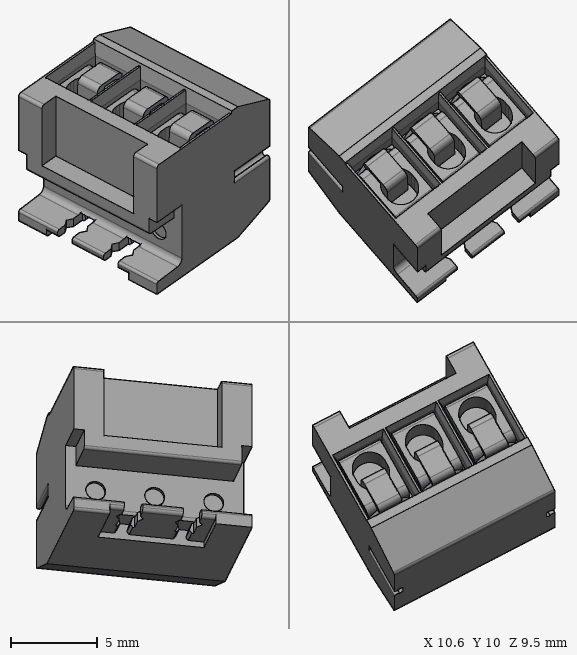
import cadquery as cq


WIDTH = 10.56
DEPTH = 10.0
HEIGHT = 9.5
PITCH = 3.5
POLE_CENTRES = [-PITCH, 0, PITCH]
SHOULDER_Y = 7.17
BACK_CORNER_DROP = 1.07
RIDGE_FOOT_Y = 6.59
DECK_Z = 9.32
BACK_RADIUS = 0.21
FRONT_TOP_RADIUS = 0.21

CHANNEL_BACK_Y = 2.21
LIP_ROOT_Z = 3.98
LIP_FRONT_Z = 4.04
LIP_RADIUS = 0.17
LIP_END_WIDTH = 0.61
LIP_END_Z = 5.22
TONGUE_ROOT_Z = 0.97
TONGUE_FRONT_Z = 0.87
TONGUE_RADIUS = 0.16
CHANNEL_RADIUS = 0.4

RELIEF_X = (-3.15, 3.13)
RELIEF_Z = 0.36
RELIEF_DEPTH = 3.17
RELIEF_RADIUS = 0.22
FOOT_RADIUS = 0.17
SLOT_CENTRES = [-PITCH / 2, PITCH / 2]
SLOT_HALF_WIDTH = 0.55
SLOT_TOP_Z = 1.0
SLOT_MOUTH_DEPTH = 2.21
NOTCH_DEPTH = 0.23
NOTCH_FRONT_Y = 0.65
NOTCH_MIDDLE_Y = 1.03
NOTCH_BACK_Y = 1.38
NECK_HALF_WIDTH = 0.31
NECK_Z = 0.53
NECK_END_HALF_WIDTH = 0.44

LABEL_WIDTH = 7.0
LABEL_BOTTOM_Z = 4.98
LABEL_DEPTH = 1.24
PIN_HOLE_RADIUS = 0.58
PIN_HOLE_Z = 2.49
PIN_HOLE_DEPTH = 0.2

GROOVE_FRONT_Y = 6.89
GROOVE_MIDDLE_Z = 4.58
GROOVE_HALF_HEIGHT = 0.46
GROOVE_NECK_HALF_HEIGHT = 0.33
GROOVE_NECK_X = 0.17
GROOVE_DEPTH = 0.57
GROOVE_CORNER_RADIUS = 0.21

WELL_PITCH = 3.46
WELL_CENTRES = [-WELL_PITCH, 0, WELL_PITCH]
WELL_WIDTH = 3.34
WELL_Y = (2.2, RIDGE_FOOT_Y)
WELL_INSET = 0.18
WELL_TAPER_Z = 8.55
WELL_FLOOR_Z = 7.39
RIDGE_FRONT_Y = RIDGE_FOOT_Y + WELL_INSET * (HEIGHT - DECK_Z) / (DECK_Z - WELL_TAPER_Z)

CLAMP_WIDTH = 2.75
CLAMP_Y = (2.38, 6.01)
CLAMP_TOP_Z = 8.37
CLAMP_FRONT_RADIUS = 0.18
CLAMP_BACK_RADIUS = 0.5
ENTRY_RADIUS = 1.01
ENTRY_Y = (3.7, 3.98)
ENTRY_DEPTH = 2.11
STRAP_WIDTH = 1.49
STRAP_FRONT_Y = 4.04
STRAP_FOOT_Y = 3.98
STRAP_BACK_Y = 6.24
STRAP_TOP_Z = 8.66
STRAP_FRONT_RADIUS = 0.4
STRAP_BACK_RADIUS = 0.35
ARCH_WIDTH = 2.6
ARCH_TOP_Z = 8.13
PIN_HEAD_RADIUS = 0.45
PIN_HEAD_Z = 7.5


def box(x, y, z):
    """Box spanning the given (low, high) ranges."""
    return (
        cq.Workplane("XY")
        .box(x[1] - x[0], y[1] - y[0], z[1] - z[0], centered=False)
        .translate((x[0], y[0], z[0]))
    )


def extrude_across(outline, width):
    """Extrude a closed (Y, Z) outline along X, centred on X = 0."""
    return cq.Workplane("YZ").polyline(outline).close().extrude(width / 2, both=True)


def round_edges(solid, y, z, radius):
    """Fillet the edges along X that lie at the given Y and Z."""
    reach = 0.005
    corner = cq.selectors.BoxSelector(
        (-WIDTH, y - reach, z - reach), (WIDTH, y + reach, z + reach)
    )
    return solid.edges("|X").edges(corner).fillet(radius)


def housing():
    low_back_z = BACK_CORNER_DROP
    high_back_z = HEIGHT - BACK_CORNER_DROP
    body = extrude_across(
        [
            (0, 0),
            (SHOULDER_Y, 0),
            (DEPTH, low_back_z),
            (DEPTH, high_back_z),
            (SHOULDER_Y, HEIGHT),
            (RIDGE_FRONT_Y, HEIGHT),
            (RIDGE_FOOT_Y, DECK_Z),
            (0, DECK_Z),
            (0, LIP_FRONT_Z),
            (CHANNEL_BACK_Y, LIP_ROOT_Z),
            (CHANNEL_BACK_Y, TONGUE_ROOT_Z),
            (0, TONGUE_FRONT_Z),
        ],
        WIDTH,
    )
    body = round_edges(body, DEPTH, low_back_z, BACK_RADIUS)
    body = round_edges(body, DEPTH, high_back_z, BACK_RADIUS)
    body = round_edges(body, 0, DECK_Z, FRONT_TOP_RADIUS)
    body = round_edges(body, 0, LIP_FRONT_Z, LIP_RADIUS)
    body = round_edges(body, CHANNEL_BACK_Y, TONGUE_ROOT_Z, CHANNEL_RADIUS)
    return round_edges(body, 0, TONGUE_FRONT_Z, TONGUE_RADIUS)


def lip_end_notches():
    edge = WIDTH / 2
    channel_middle_z = (TONGUE_ROOT_Z + LIP_ROOT_Z) / 2
    notch = box((edge - LIP_END_WIDTH, edge), (0, CHANNEL_BACK_Y), (channel_middle_z, LIP_END_Z))
    return notch.union(notch.mirror("YZ"))


def label_recess():
    return box((-LABEL_WIDTH / 2, LABEL_WIDTH / 2), (0, LABEL_DEPTH), (LABEL_BOTTOM_Z, HEIGHT))


def pin_holes():
    return (
        cq.Workplane("XZ", origin=(0, CHANNEL_BACK_Y, PIN_HOLE_Z))
        .pushPoints([(x, 0) for x in POLE_CENTRES])
        .circle(PIN_HOLE_RADIUS)
        .extrude(-PIN_HOLE_DEPTH)
    )


def cut_relief(body):
    """Hollow the underside between the two feet and round its front edges."""
    body = body.cut(box(RELIEF_X, (0, RELIEF_DEPTH), (0, RELIEF_Z)))
    body = round_edges(body, 0, RELIEF_Z, RELIEF_RADIUS)
    left_foot_edge = cq.selectors.BoxSelector(
        (-WIDTH, -FOOT_RADIUS, -FOOT_RADIUS), (RELIEF_X[0], FOOT_RADIUS, FOOT_RADIUS)
    )
    return body.edges("|X").edges(left_foot_edge).fillet(FOOT_RADIUS)


def tongue_slot(centre_x):
    """Notched slot through the tongue, ending in a waisted tunnel under the housing."""
    half = SLOT_HALF_WIDTH
    right_side = [
        (half, 0),
        (half, NOTCH_FRONT_Y),
        (half + NOTCH_DEPTH, NOTCH_MIDDLE_Y),
        (half, NOTCH_BACK_Y),
        (half, SLOT_MOUTH_DEPTH),
    ]
    left_side = [(-x, y) for x, y in reversed(right_side)]
    mouth = cq.Workplane("XY").polyline(right_side + left_side).close().extrude(SLOT_TOP_Z)
    tunnel = (
        cq.Workplane("XZ")
        .moveTo(-NECK_END_HALF_WIDTH, SLOT_TOP_Z)
        .lineTo(NECK_END_HALF_WIDTH, SLOT_TOP_Z)
        .lineTo(NECK_HALF_WIDTH, NECK_Z)
        .lineTo(NECK_END_HALF_WIDTH, RELIEF_Z)
        .lineTo(-NECK_END_HALF_WIDTH, RELIEF_Z)
        .lineTo(-NECK_HALF_WIDTH, NECK_Z)
        .close()
        .extrude(-RELIEF_DEPTH)
    )
    return mouth.union(tunnel).translate((centre_x, 0, 0))


def side_grooves():
    """Undercut grooves with rounded lips, open at the back of both sides."""
    mouth = GROOVE_HALF_HEIGHT
    neck = GROOVE_NECK_HALF_HEIGHT
    lip_end_x = 2 * GROOVE_NECK_X
    groove = (
        cq.Workplane("XZ", origin=(-WIDTH / 2, GROOVE_FRONT_Y, GROOVE_MIDDLE_Z))
        .moveTo(0, -mouth)
        .threePointArc((GROOVE_NECK_X, -neck), (lip_end_x, -mouth))
        .lineTo(GROOVE_DEPTH, -mouth)
        .lineTo(GROOVE_DEPTH, mouth)
        .lineTo(lip_end_x, mouth)
        .threePointArc((GROOVE_NECK_X, neck), (0, mouth))
        .close()
        .extrude(GROOVE_FRONT_Y - DEPTH)
    )
    groove = groove.faces(">X").edges("|Y").fillet(GROOVE_CORNER_RADIUS)
    return groove.union(groove.mirror("YZ"))


def well(centre_x):
    """Pocket with a tapered mouth and straight lower walls."""
    length = WELL_Y[1] - WELL_Y[0]
    middle_y = (WELL_Y[0] + WELL_Y[1]) / 2
    inner_width = WELL_WIDTH - 2 * WELL_INSET
    inner_length = length - 2 * WELL_INSET
    mouth = (
        cq.Workplane("XY", origin=(centre_x, middle_y, WELL_TAPER_Z))
        .rect(inner_width, inner_length)
        .workplane(offset=DECK_Z - WELL_TAPER_Z)
        .rect(WELL_WIDTH, length)
        .loft()
    )
    shaft = (
        cq.Workplane("XY", origin=(centre_x, middle_y, WELL_FLOOR_Z))
        .rect(inner_width, inner_length)
        .extrude(WELL_TAPER_Z - WELL_FLOOR_Z)
    )
    return mouth.union(shaft)


def clamp_block():
    half = CLAMP_WIDTH / 2
    block = box((-half, half), CLAMP_Y, (WELL_FLOOR_Z, CLAMP_TOP_Z))
    block = round_edges(block, CLAMP_Y[0], CLAMP_TOP_Z, CLAMP_FRONT_RADIUS)
    return round_edges(block, CLAMP_Y[1], CLAMP_TOP_Z, CLAMP_BACK_RADIUS)


def wire_entry(centre_x):
    """Oblong blind hole down through the clamp block."""
    length = ENTRY_Y[1] - ENTRY_Y[0] + 2 * ENTRY_RADIUS
    middle_y = (ENTRY_Y[0] + ENTRY_Y[1]) / 2
    return (
        cq.Workplane("XY", origin=(centre_x, middle_y, CLAMP_TOP_Z))
        .slot2D(length, 2 * ENTRY_RADIUS, 90)
        .extrude(-ENTRY_DEPTH)
    )


def strap():
    """Folded strap over the clamp block, its slanted front reaching down the wire entry."""
    foot_z = CLAMP_TOP_Z - ENTRY_DEPTH
    bar = extrude_across(
        [
            (STRAP_FOOT_Y, foot_z),
            (STRAP_BACK_Y, foot_z),
            (STRAP_BACK_Y, STRAP_TOP_Z),
            (STRAP_FRONT_Y, STRAP_TOP_Z),
        ],
        STRAP_WIDTH,
    )
    bar = round_edges(bar, STRAP_FRONT_Y, STRAP_TOP_Z, STRAP_FRONT_RADIUS)
    return round_edges(bar, STRAP_BACK_Y, STRAP_TOP_Z, STRAP_BACK_RADIUS)


def arch():
    """Plate behind the clamp block, sloping down to both sides."""
    return (
        cq.Workplane("XZ", origin=(0, CLAMP_Y[1], 0))
        .moveTo(-ARCH_WIDTH / 2, WELL_FLOOR_Z)
        .lineTo(ARCH_WIDTH / 2, WELL_FLOOR_Z)
        .lineTo(STRAP_WIDTH / 2, ARCH_TOP_Z)
        .lineTo(-STRAP_WIDTH / 2, ARCH_TOP_Z)
        .close()
        .extrude(CLAMP_Y[1] - STRAP_BACK_Y)
    )


def pin_head():
    """Round pin end between the strap and the back wall of the well."""
    well_back_y = WELL_Y[1] - WELL_INSET
    return (
        cq.Workplane("XZ", origin=(0, STRAP_BACK_Y, PIN_HEAD_Z))
        .circle(PIN_HEAD_RADIUS)
        .extrude(STRAP_BACK_Y - well_back_y)
    )


body = housing()
for opening in [lip_end_notches(), label_recess(), pin_holes(), side_grooves()]:
    body = body.cut(opening)
body = cut_relief(body)
for slot_x in SLOT_CENTRES:
    body = body.cut(tongue_slot(slot_x))

for well_x in WELL_CENTRES:
    body = body.cut(well(well_x))
for pole_x in POLE_CENTRES:
    body = body.union(clamp_block().translate((pole_x, 0, 0)))
    body = body.cut(wire_entry(pole_x))
    for fitting in [strap(), arch(), pin_head()]:
        body = body.union(fitting.translate((pole_x, 0, 0)))

result = body